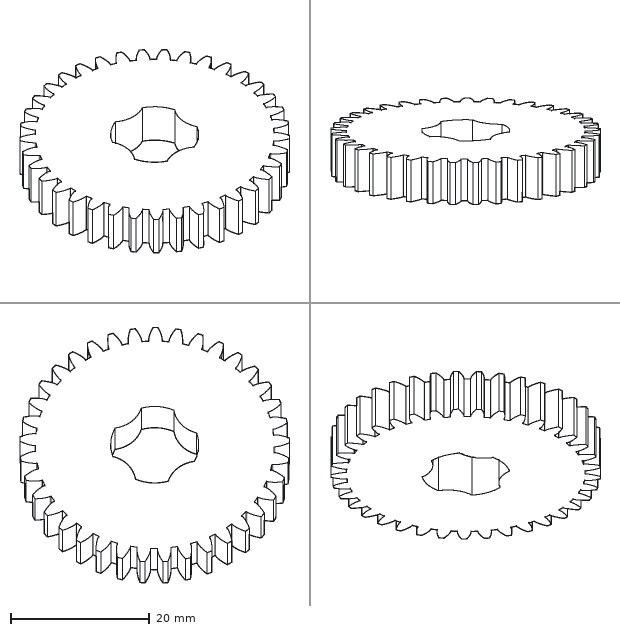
import cadquery as cq
import math

tip_diameter = 39.0
thickness = 6.25
tooth_count = 37
pressure_angle = math.radians(20)
addendum_factor = 1.0
dedendum_factor = 1.25

bore_radius = 6.35
lobe_reach = 5.1
lobe_radius = 4.68
lobe_count = 4

module = tip_diameter / (tooth_count + 2 * addendum_factor)
tip_radius = tip_diameter / 2
pitch_radius = module * tooth_count / 2
base_radius = pitch_radius * math.cos(pressure_angle)
root_radius = pitch_radius - dedendum_factor * module

flank_point_count = 5
tooth_pitch = 2 * math.pi / tooth_count


def polar(radius, angle):
    return (radius * math.cos(angle), radius * math.sin(angle))


def involute(angle):
    return math.tan(angle) - angle


def half_tooth_angle(radius):
    """Half the angular thickness of a tooth, on the involute at the given radius."""
    at_pitch_circle = tooth_pitch / 4
    flank_angle = math.acos(base_radius / radius)
    return at_pitch_circle + involute(pressure_angle) - involute(flank_angle)


def flank_radii():
    """Radii along the involute from base circle to tip, spaced evenly in roll angle."""
    tip_roll = math.sqrt((tip_radius / base_radius) ** 2 - 1)
    last = flank_point_count - 1
    return [base_radius * math.hypot(1, tip_roll * i / last) for i in range(flank_point_count)]


def gear_blank():
    """Toothed disc with one tooth centred on +X; flanks run radially below the base circle."""
    radii = flank_radii()
    root_half_angle = half_tooth_angle(base_radius)
    outline = cq.Workplane("XY").moveTo(*polar(root_radius, -root_half_angle))
    for index in range(tooth_count):
        centre = index * tooth_pitch
        rising = [polar(r, centre - half_tooth_angle(r)) for r in radii]
        falling = [polar(r, centre + half_tooth_angle(r)) for r in reversed(radii)]
        outline = (
            outline.lineTo(*rising[0])
            .spline(rising[1:], includeCurrent=True)
            .threePointArc(polar(tip_radius, centre), falling[0])
            .spline(falling[1:], includeCurrent=True)
            .lineTo(*polar(root_radius, centre + root_half_angle))
            .threePointArc(
                polar(root_radius, centre + tooth_pitch / 2),
                polar(root_radius, centre + tooth_pitch - root_half_angle),
            )
        )
    return outline.close().extrude(thickness)


def lobed_bore():
    """Cutter for the through bore, with the lobes left standing."""
    lobes = (
        cq.Workplane("XY")
        .polarArray(lobe_reach + lobe_radius, 0, 360, lobe_count)
        .circle(lobe_radius)
        .extrude(thickness)
    )
    return cq.Workplane("XY").circle(bore_radius).extrude(thickness).cut(lobes)


result = gear_blank().cut(lobed_bore())